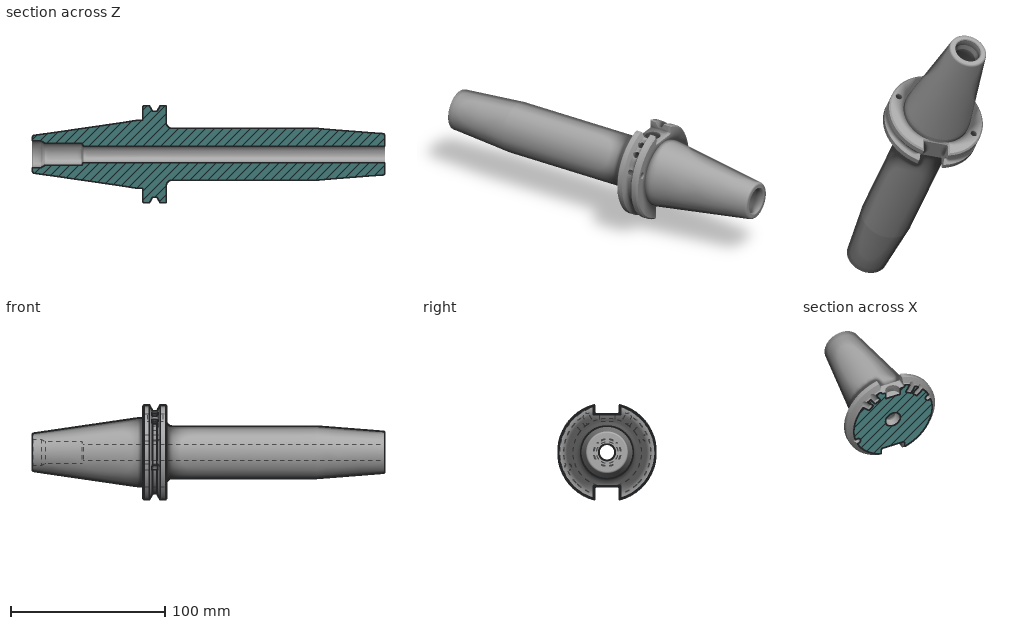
import cadquery as cq
import math

gauge_radius = 44.45 / 2
taper_length = 68.25
taper_slope = 7 / 24 / 2
tail_round = 1.5

flange_radius = 63.5 / 2
flange_start = 3.175
flange_end = 18.7
flange_chamfer = 1.0
flange_back_chamfer = 0.6
groove_center = 11.1
groove_floor_radius = 56.25 / 2
groove_half_angle = math.radians(30)
groove_apex_radius = 25.65
groove_round = 0.3

shank_radius = 17.0
shank_fillet = 3.4
nose_end = 160.0
nose_radius = 13.5
nose_angle = math.radians(4.5)
nose_round = 1.2

bore_radius = 5.2
thread_radius = 7.0
thread_depth = 32.0
pilot_radius = 8.5
pilot_depth = 5.7
pilot_chamfer = 0.5
pilot_cone_angle = math.radians(30)

drill_angle = math.radians(59)

slot_width = 16.1
slot_floors = {1: 25.0, -1: 22.4}
slot_wall_flare = 1.0
slot_floor_flare = 0.7
slot_floor_round = 0.8
slot_rim_chamfer = 0.36
chip_hole_radius = 5.0
chip_hole_depth = 5.0

coolant_radius = 2.0
coolant_sink_radius = 2.3
coolant_circle_radius = 27.0
coolant_angle = 20.5
coolant_depth = 10.0

balance_radius = 2.1
balance_angles = (-45, -30, 30, 45)
balance_depth = 6.0


def make_body():
    """Turned outside shape: taper, grooved flange, shank and conical nose."""
    tail_radius = gauge_radius - taper_length * taper_slope
    rim_half = (flange_radius - groove_apex_radius) * math.tan(groove_half_angle)
    floor_half = (groove_floor_radius - groove_apex_radius) * math.tan(groove_half_angle)
    nose_start = nose_end - (shank_radius - nose_radius) / math.tan(nose_angle)
    profile = (
        cq.Workplane("XZ")
        .moveTo(-taper_length, 0)
        .lineTo(-taper_length, tail_radius)
        .lineTo(0, gauge_radius)
        .lineTo(flange_start, gauge_radius)
        .lineTo(flange_start, flange_radius - flange_chamfer)
        .lineTo(flange_start + flange_chamfer, flange_radius)
        .lineTo(groove_center - rim_half, flange_radius)
        .lineTo(groove_center - floor_half, groove_floor_radius)
        .lineTo(groove_center + floor_half, groove_floor_radius)
        .lineTo(groove_center + rim_half, flange_radius)
        .lineTo(flange_end - flange_back_chamfer, flange_radius)
        .lineTo(flange_end, flange_radius - flange_back_chamfer)
        .lineTo(flange_end, shank_radius + shank_fillet)
        .radiusArc((flange_end + shank_fillet, shank_radius), -shank_fillet)
        .lineTo(nose_start, shank_radius)
        .lineTo(nose_end, nose_radius)
        .lineTo(nose_end, 0)
        .close()
    )
    body = profile.revolve(360, (0, 0, 0), (1, 0, 0))
    floor_edges = cq.selectors.BoxSelector(
        (groove_center - floor_half - groove_round, -flange_radius, -flange_radius),
        (groove_center + floor_half + groove_round, flange_radius, flange_radius),
    )
    body = body.edges(floor_edges).fillet(groove_round)
    body = body.faces("<X").edges().fillet(tail_round)
    return body.faces(">X").edges().fillet(nose_round)


def make_bore():
    """Stepped bore whose pilot and threaded stretch narrow through conical shoulders."""
    tail = -taper_length
    thread_start = tail + pilot_depth + (pilot_radius - thread_radius) / math.tan(pilot_cone_angle)
    thread_end = tail + thread_depth
    bore_start = thread_end + (thread_radius - bore_radius) / math.tan(drill_angle)
    return (
        cq.Workplane("XZ")
        .moveTo(tail, 0)
        .lineTo(tail, pilot_radius + pilot_chamfer)
        .lineTo(tail + pilot_chamfer, pilot_radius)
        .lineTo(tail + pilot_depth, pilot_radius)
        .lineTo(thread_start, thread_radius)
        .lineTo(thread_end, thread_radius)
        .lineTo(bore_start, bore_radius)
        .lineTo(nose_end, bore_radius)
        .lineTo(nose_end, 0)
        .close()
        .revolve(360, (0, 0, 0), (1, 0, 0))
    )


def slot_outline(offset, half, bottom):
    """Slot cross-section at X = offset, with rounded floor corners and flared rim edges."""
    rim_half = half + slot_rim_chamfer
    rim_height = math.sqrt(flange_radius**2 - rim_half**2)
    clearance = flange_radius - rim_height
    corner = slot_floor_round
    diagonal = corner * (1 - math.sqrt(0.5))
    return (
        cq.Workplane("YZ", origin=(offset, 0, 0))
        .moveTo(-half + corner, bottom)
        .lineTo(half - corner, bottom)
        .threePointArc((half - diagonal, bottom + diagonal), (half, bottom + corner))
        .lineTo(half, rim_height - slot_rim_chamfer)
        .lineTo(rim_half + clearance, rim_height + clearance)
        .lineTo(-rim_half - clearance, rim_height + clearance)
        .lineTo(-half, rim_height - slot_rim_chamfer)
        .lineTo(-half, bottom + corner)
        .threePointArc((-half + diagonal, bottom + diagonal), (-half + corner, bottom))
        .close()
    )


def make_slot(side):
    """Drive slot at the +Z (side 1) or -Z (side -1) edge, flared at both flange faces."""
    half = slot_width / 2
    floor = slot_floors[side]
    slot = slot_outline(flange_start, half, floor).extrude(flange_end - flange_start)
    for face, inner in (
        (flange_start, flange_start + flange_chamfer),
        (flange_end, flange_end - flange_back_chamfer),
    ):
        wide = slot_outline(face, half + slot_wall_flare, floor - slot_floor_flare).val()
        narrow = slot_outline(inner, half, floor).val()
        slot = slot.union(cq.Workplane(cq.Solid.makeLoft([wide, narrow], True)))
    return slot if side > 0 else slot.mirror("XY")


def make_chip_hole():
    """Blind hole in the floor of the +Z drive slot."""
    floor = slot_floors[1]
    return (
        cq.Workplane("XY", origin=(groove_center, 0, floor - chip_hole_depth))
        .circle(chip_hole_radius)
        .extrude(chip_hole_depth)
    )


def make_coolant_holes():
    """Two opposite countersunk, drill-pointed holes along X in the taper-side flange face."""
    sink_depth = coolant_sink_radius - coolant_radius
    point_length = coolant_radius / math.tan(drill_angle)
    hole = (
        cq.Workplane("XY")
        .lineTo(0, coolant_sink_radius)
        .lineTo(sink_depth, coolant_radius)
        .lineTo(coolant_depth, coolant_radius)
        .lineTo(coolant_depth + point_length, 0)
        .close()
        .revolve(360, (0, 0, 0), (1, 0, 0))
        .translate((flange_start, coolant_circle_radius, 0))
    )
    first = hole.rotate((0, 0, 0), (1, 0, 0), coolant_angle)
    return first.union(first.rotate((0, 0, 0), (1, 0, 0), 180))


def make_balance_hole(angle):
    """Radial blind hole in the groove floor, tilted from +Z about the X axis."""
    return (
        cq.Workplane("XY", origin=(groove_center, 0, groove_floor_radius - balance_depth))
        .circle(balance_radius)
        .extrude(flange_radius - groove_floor_radius + balance_depth)
        .rotate((0, 0, 0), (1, 0, 0), angle)
    )


result = make_body().cut(make_bore())
for side in slot_floors:
    result = result.cut(make_slot(side))
for angle in balance_angles:
    result = result.cut(make_balance_hole(angle))
result = result.cut(make_chip_hole()).cut(make_coolant_holes())